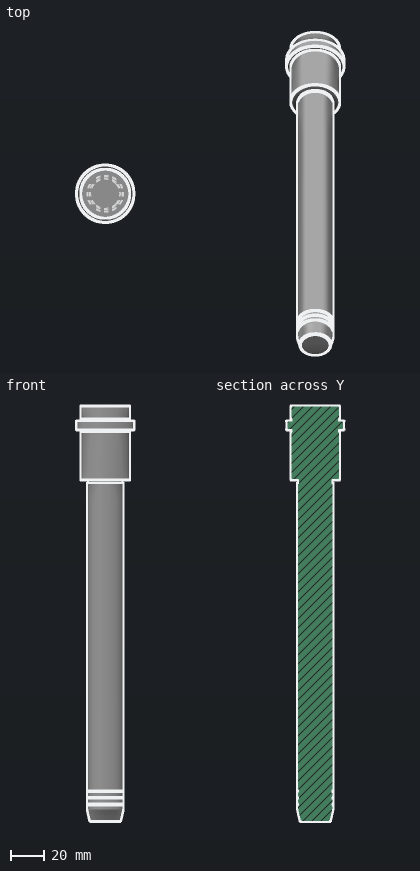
import cadquery as cq

length = 250.0
head_height = 45.0
head_bottom = length - head_height
head_chamfer = 0.5

head_diameter = 30.0
flange_diameter = 35.0
shaft_diameter = 22.0
tip_diameter = 19.0

seat_height = 8.0
seat_depth = 0.5
distance_to_seat = 8.0
seat_top = length - distance_to_seat
seat_bottom = seat_top - seat_height
flange_thickness = 6.0
flange_bottom = seat_bottom + (seat_height - flange_thickness) / 2
flange_chamfer = 0.5

undercut_height = 1.5
undercut_depth = 0.5

tip_height = 7.5
tip_chamfer = 0.8
groove_count = 3
groove_pitch = 4.0
first_groove_bottom = 10.0
groove_width = 1.0
groove_depth = 0.5


def cylinder(diameter, bottom, height):
    """Upright cylinder on the Z axis."""
    return cq.Workplane("XY", origin=(0, 0, bottom)).circle(diameter / 2).extrude(height)


def ring_cut(diameter, depth, bottom, width):
    """Ring with square walls to remove from the surface of a cylinder of this diameter."""
    outer = cylinder(diameter + 2 * depth, bottom, width)
    return outer.cut(cylinder(diameter - 2 * depth, bottom, width))


def bevelled_ring_cut(diameter, depth, bottom, width):
    """Ring to remove from the surface of a cylinder, with 45 degree walls.

    A ring twice as wide as it is deep is a full V; a wider one has a flat floor.
    """
    surface = diameter / 2
    apex_depth = width / 2
    v_points = [
        (surface, bottom),
        (surface - apex_depth, bottom + apex_depth),
        (surface, bottom + width),
    ]
    ring = cq.Workplane("XZ").polyline(v_points).close().revolve(360, (0, 0, 0), (0, 1, 0))
    return ring.cut(cylinder(diameter - 2 * depth, bottom, width))


def make_head():
    """Head with lightly broken end edges and its chamfered flange ring."""
    flange = cylinder(flange_diameter, flange_bottom, flange_thickness)
    flange = flange.edges().chamfer(flange_chamfer)
    head = cylinder(head_diameter, head_bottom, head_height).edges().chamfer(head_chamfer)
    head = head.cut(bevelled_ring_cut(head_diameter, seat_depth, seat_bottom, seat_height))
    return head.union(flange)


def make_shaft():
    """Shaft with a tapered tip, V-shaped ring grooves and an undercut below the head."""
    shaft_radius = shaft_diameter / 2
    tip_radius = tip_diameter / 2
    shaft = (
        cq.Workplane("XZ")
        .lineTo(tip_radius - tip_chamfer, 0)
        .lineTo(tip_radius, tip_chamfer)
        .lineTo(shaft_radius, tip_height)
        .lineTo(shaft_radius, head_bottom)
        .lineTo(0, head_bottom)
        .close()
        .revolve(360, (0, 0, 0), (0, 1, 0))
    )
    undercut_bottom = head_bottom - undercut_height
    shaft = shaft.cut(ring_cut(shaft_diameter, undercut_depth, undercut_bottom, undercut_height))
    for index in range(groove_count):
        groove_bottom = first_groove_bottom + index * groove_pitch
        shaft = shaft.cut(bevelled_ring_cut(shaft_diameter, groove_depth, groove_bottom, groove_width))
    return shaft


result = make_head().union(make_shaft())